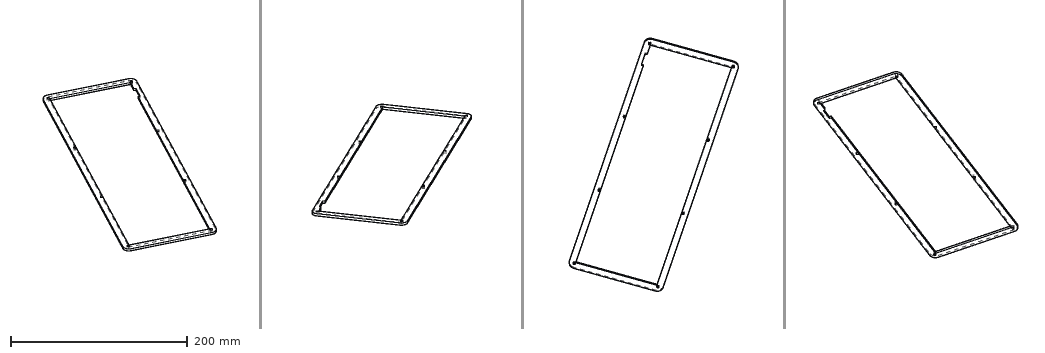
import cadquery as cq

length = 301.8
width = 111.3
thickness = 3.0
corner_radius = 7.2
rail_width = 7.5

hole_diameter = 2.7
hole_inset = 6.0
holes_per_row = 4

notch_start = 20.0
notch_length = 14.8
notch_depth = 2.5
notch_lip_radius = 1.5

opening_length = length - 2 * rail_width
opening_width = width - 2 * rail_width


def make_frame():
    plate = cq.Workplane("XY").rect(length, width).extrude(thickness)
    plate = plate.edges("|Z").fillet(corner_radius)
    opening = cq.Workplane("XY").rect(opening_length, opening_width).extrude(thickness)
    return plate.cut(opening)


def make_notch():
    """Notch with a square right end and a rounded lip at its left end."""
    left = notch_start - length / 2
    right = left + notch_length
    mouth = opening_width / 2
    floor = mouth + notch_depth
    profile = (
        cq.Workplane("XY")
        .moveTo(left - notch_lip_radius, mouth)
        .radiusArc((left, mouth + notch_lip_radius), -notch_lip_radius)
        .lineTo(left, floor)
        .lineTo(right, floor)
        .lineTo(right, mouth)
        .close()
    )
    return profile.extrude(thickness)


def make_holes():
    row_spacing = width - 2 * hole_inset
    hole_pitch = (length - 2 * hole_inset) / (holes_per_row - 1)
    return (
        cq.Workplane("XY")
        .rarray(hole_pitch, row_spacing, holes_per_row, 2)
        .circle(hole_diameter / 2)
        .extrude(thickness)
    )


result = make_frame().cut(make_notch()).cut(make_holes())